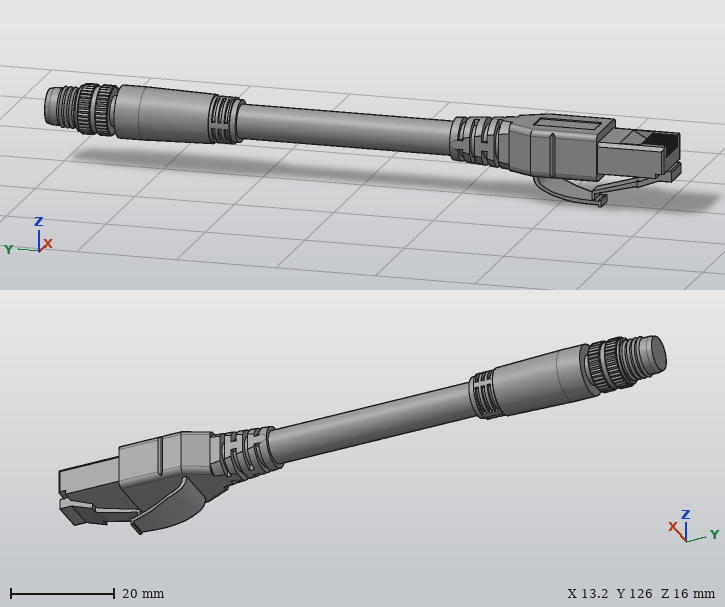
import cadquery as cq
import math

LENGTH = 126.0

CABLE_DIAMETER = 6.7
CABLE_RADIUS = CABLE_DIAMETER / 2

NOSE_RADIUS = 3.7
NOSE_TIP_RADIUS = 3.4
NOSE_LEAD = 1.0
THREAD_RADIUS = 4.0
THREAD_END_Y = 123.5
THREAD_PITCH = 1.0
THREAD_COUNT = 4
COLLAR_RADIUS = 4.5
COLLAR_TOP_Y = 119.6
KNURL_RADIUS = 4.9
KNURL_CHAMFER = 0.3
KNURL_RINGS = ((116.6, 119.1), (113.0, 115.6))
KNURL_TEETH = 36
KNURL_DEPTH = 0.3
NECK_RADIUS = 3.0

GRIP_RADIUS = 5.2
GRIP_FRONT_Y = 111.5
GRIP_STRAIGHT_Y = 106.6
GRIP_REAR_RADIUS = 4.8
GRIP_REAR_Y = 92.8
RELIEF_RADIUS = 4.5
RELIEF_STEP_Y = 88.6
RELIEF_TAIL_RADIUS = 4.2
RELIEF_END_Y = 87.5
RELIEF_CORE_RADIUS = 3.9
RELIEF_SLOT_WIDTH = 0.6
RELIEF_SLOT_PITCH = 1.3
RELIEF_RIB_WIDTH = RELIEF_SLOT_PITCH - RELIEF_SLOT_WIDTH
RELIEF_SLOT_COUNT = 3
RELIEF_BRIDGE = 1.3

BOOT_START_Y = 44.4
BOOT_START_RADIUS = 4.2
BOOT_END_RADIUS = 5.2
BOOT_HALF_WIDTH = 4.2
BOOT_BRIDGE = 1.8
BOOT_VERTICAL_SLOTS = ((41.7, 42.7), (36.8, 37.9))
BOOT_SIDE_SLOTS = ((39.3, 40.3), (34.5, 35.4))

HOUSING_WIDTH = 13.2
HOUSING_TOP_Z = 4.8
HOUSING_BOTTOM_Z = -4.7
HOUSING_HEIGHT = HOUSING_TOP_Z - HOUSING_BOTTOM_Z
HOUSING_FRONT_Y = 14.1
HOUSING_TAPER_START_Y = 27.3
HOUSING_REAR_Y = 32.4
HOUSING_FILLET = 1.1
SIDE_GROOVE_Y = 23.0
SIDE_GROOVE_WIDTH = 1.0
SIDE_GROOVE_DEPTH = 0.4
LABEL_WIDTH = 5.2
LABEL_Y = (15.8, 28.0)
LABEL_DEPTH = 0.3

PLUG_WIDTH = 11.8
PLUG_TOP_Z = 3.2
PLUG_BOTTOM_Z = -3.0
PLUG_FRONT_Y = 0.9
PLUG_CHAMFER = 0.8
PLUG_CORNER_CHAMFER = 0.4
PLUG_NOSE_BOTTOM_Z = -2.1
PLUG_NOSE_DEPTH = 1.5
RAMP_WIDTH = 9.5
RAMP_Y = (5.8, 10.0)
CONTACT_COUNT = 8
CONTACT_PITCH = 1.0
CONTACT_SLOT_WIDTH = 0.5
CONTACT_FLOOR_Z = 0.8

LATCH_WIDTH = 6.7
LATCH_NARROW_WIDTH = 3.7
LATCH_NARROW_Y = 6.9
LATCH_END_Y = 15.9
LATCH_ROOT_Y = 2.5
LATCH_BEND_Y = 7.8
LATCH_BEND_TOP_Z = -5.3
LATCH_BEND_THICKNESS = 1.0
LATCH_END_TOP_Z = -7.8
LATCH_TIP_BOTTOM_Z = -4.3
LATCH_CHAMFER = 0.3
LATCH_HOOK_BOTTOM_Z = -9.6
LATCH_HOOK_THICKNESS = 0.5
LEVER_WIDTH = 8.8
LEVER_TIP_WIDTH = 4.0
LEVER_TAPER_Y = 23.3
LEVER_TIP_Y = 14.5
LEVER_TIP_THICKNESS = 0.8
LEVER_TIP_BOTTOM_Z = -10.5
LEVER_LIP_LENGTH = 0.5
LEVER_LIP_TOP_Z = -9.5
LEVER_ROOT_Y = (26.6, 27.5)
LEVER_OUTER_POINTS = [(25.2, -7.8), (21.0, -9.5)]
LEVER_INNER_POINTS = [(21.0, -8.7), (24.7, -7.3)]
LEVER_TIP_SLOPE = 0.1
LOWEST_Z = -10.8


def block(width, y_range, z_range, x_center=0.0):
    """Box of the given width in X, spanning the given Y and Z ranges."""
    y0, y1 = y_range
    z0, z1 = z_range
    return cq.Workplane("XY").box(width, y1 - y0, z1 - z0).translate(
        (x_center, (y0 + y1) / 2, (z0 + z1) / 2)
    )


def rod(radius, y_start, y_end):
    """Cylinder on the cable axis."""
    return cq.Workplane("XZ", origin=(0, y_end, 0)).circle(radius).extrude(y_end - y_start)


def side_profile(width):
    """Start of a YZ outline, to be extruded symmetrically to the given width."""
    return cq.Workplane("YZ", origin=(-width / 2, 0, 0))


def ring_slot(core_radius, y_range, bridge, bridge_axes):
    """Annular slot broken by bridges where the named axes cross it."""
    reach = 2 * core_radius
    ring = rod(reach, *y_range).cut(rod(core_radius, *y_range))
    if "Z" in bridge_axes:
        ring = ring.cut(block(bridge, y_range, (-reach, reach)))
    if "X" in bridge_axes:
        ring = ring.cut(block(2 * reach, y_range, (-bridge / 2, bridge / 2)))
    return ring


def round_connector():
    """Nose, thread, collar, neck, grip and relief as one turned profile."""
    points = [(0, LENGTH), (NOSE_TIP_RADIUS, LENGTH), (NOSE_RADIUS, LENGTH - NOSE_LEAD)]
    for turn in range(THREAD_COUNT):
        start = THREAD_END_Y - turn * THREAD_PITCH
        points += [(NOSE_RADIUS, start), (THREAD_RADIUS, start - THREAD_PITCH / 2)]
    points += [
        (THREAD_RADIUS, COLLAR_TOP_Y),
        (COLLAR_RADIUS, COLLAR_TOP_Y),
        (COLLAR_RADIUS, KNURL_RINGS[-1][0]),
        (NECK_RADIUS, KNURL_RINGS[-1][0]),
        (NECK_RADIUS, GRIP_FRONT_Y),
        (GRIP_RADIUS, GRIP_FRONT_Y),
        (GRIP_RADIUS, GRIP_STRAIGHT_Y),
        (GRIP_REAR_RADIUS, GRIP_REAR_Y),
        (RELIEF_RADIUS, GRIP_REAR_Y),
        (RELIEF_RADIUS, RELIEF_STEP_Y),
        (RELIEF_TAIL_RADIUS, RELIEF_STEP_Y),
        (RELIEF_TAIL_RADIUS, RELIEF_END_Y),
        (0, RELIEF_END_Y),
    ]
    return cq.Workplane("XY").polyline(points).close().revolve(360, (0, 0, 0), (0, 1, 0))


def knurled_ring(y_start, y_end):
    """Gripping ring with chamfered rims and V-shaped teeth around it."""
    outline = []
    for step in range(KNURL_TEETH * 2):
        radius = KNURL_RADIUS - KNURL_DEPTH * (step % 2)
        angle = math.pi * step / KNURL_TEETH
        outline.append((radius * math.cos(angle), radius * math.sin(angle)))
    toothed = cq.Workplane("XZ", origin=(0, y_end, 0)).polyline(outline).close().extrude(y_end - y_start)
    envelope = rod(KNURL_RADIUS, y_start, y_end).edges().chamfer(KNURL_CHAMFER)
    return toothed.intersect(envelope)


def cut_relief_slots(body):
    """Rows of slots, four to a row, that make the rear of the grip flexible."""
    for index in range(RELIEF_SLOT_COUNT):
        y_end = GRIP_REAR_Y - RELIEF_RIB_WIDTH - index * RELIEF_SLOT_PITCH
        y_range = (y_end - RELIEF_SLOT_WIDTH, y_end)
        body = body.cut(ring_slot(RELIEF_CORE_RADIUS, y_range, RELIEF_BRIDGE, "XZ"))
    return body


def boot():
    """Tapered boot with flats all round and slots alternating between two directions."""
    profile = [
        (0, BOOT_START_Y),
        (BOOT_START_RADIUS, BOOT_START_Y),
        (BOOT_END_RADIUS, HOUSING_REAR_Y),
        (0, HOUSING_REAR_Y),
    ]
    cone = cq.Workplane("XY").polyline(profile).close().revolve(360, (0, 0, 0), (0, 1, 0))
    height_range = (HOUSING_BOTTOM_Z, HOUSING_TOP_Z)
    body = cone.intersect(block(2 * BOOT_HALF_WIDTH, (HOUSING_REAR_Y, BOOT_START_Y), height_range))
    for y_range in BOOT_VERTICAL_SLOTS:
        body = body.cut(ring_slot(CABLE_RADIUS, y_range, BOOT_BRIDGE, "X"))
    for y_range in BOOT_SIDE_SLOTS:
        body = body.cut(ring_slot(CABLE_RADIUS, y_range, BOOT_BRIDGE, "Z"))
    return body


def housing():
    """Plug housing: tapered towards the boot, rounded along its long edges."""
    half = HOUSING_WIDTH / 2
    outline = [
        (-half, HOUSING_FRONT_Y),
        (half, HOUSING_FRONT_Y),
        (half, HOUSING_TAPER_START_Y),
        (BOOT_HALF_WIDTH, HOUSING_REAR_Y),
        (-BOOT_HALF_WIDTH, HOUSING_REAR_Y),
        (-half, HOUSING_TAPER_START_Y),
    ]
    body = (
        cq.Workplane("XY", origin=(0, 0, HOUSING_BOTTOM_Z))
        .polyline(outline)
        .close()
        .extrude(HOUSING_HEIGHT)
    )
    body = body.faces("<Z or >Z").edges("not #Y").fillet(HOUSING_FILLET)

    for side in (-1, 1):
        groove = (
            cq.Workplane("XY", origin=(0, 0, HOUSING_BOTTOM_Z))
            .moveTo(side * half, SIDE_GROOVE_Y - SIDE_GROOVE_WIDTH / 2)
            .lineTo(side * (half - SIDE_GROOVE_DEPTH), SIDE_GROOVE_Y)
            .lineTo(side * half, SIDE_GROOVE_Y + SIDE_GROOVE_WIDTH / 2)
            .close()
            .extrude(HOUSING_HEIGHT)
        )
        body = body.cut(groove)

    label_z = (HOUSING_TOP_Z - LABEL_DEPTH, HOUSING_TOP_Z)
    return body.cut(block(LABEL_WIDTH, LABEL_Y, label_z))


def plug():
    """Modular plug with a ramped top window and a row of contact slots."""
    body = block(PLUG_WIDTH, (PLUG_FRONT_Y, HOUSING_FRONT_Y), (PLUG_BOTTOM_Z, PLUG_TOP_Z))
    body = body.edges("|Y and >Z").chamfer(PLUG_CHAMFER)
    body = body.edges("|Z and <Y").chamfer(PLUG_CORNER_CHAMFER)

    nose_y = (PLUG_FRONT_Y, PLUG_FRONT_Y + PLUG_NOSE_DEPTH)
    body = body.cut(block(PLUG_WIDTH, nose_y, (PLUG_BOTTOM_Z, PLUG_NOSE_BOTTOM_Z)))

    ramp = (
        side_profile(RAMP_WIDTH)
        .moveTo(RAMP_Y[0], PLUG_TOP_Z)
        .lineTo(RAMP_Y[1], PLUG_TOP_Z)
        .lineTo(RAMP_Y[0], CONTACT_FLOOR_Z)
        .close()
        .extrude(RAMP_WIDTH)
    )
    body = body.cut(ramp)

    for index in range(CONTACT_COUNT):
        x = (index - (CONTACT_COUNT - 1) / 2) * CONTACT_PITCH
        y_range = (PLUG_FRONT_Y, RAMP_Y[0])
        body = body.cut(block(CONTACT_SLOT_WIDTH, y_range, (CONTACT_FLOOR_Z, PLUG_TOP_Z), x))
    return body


def latch():
    """Springy latch arm, hinged at the plug nose and narrowed towards its free end."""
    hook_y = LATCH_END_Y + LATCH_HOOK_THICKNESS
    profile = [
        (0, PLUG_NOSE_BOTTOM_Z - LATCH_CHAMFER),
        (LATCH_CHAMFER, PLUG_NOSE_BOTTOM_Z),
        (LATCH_ROOT_Y, PLUG_NOSE_BOTTOM_Z),
        (LATCH_ROOT_Y, PLUG_BOTTOM_Z),
        (LATCH_BEND_Y, LATCH_BEND_TOP_Z),
        (hook_y, LATCH_END_TOP_Z),
        (hook_y, LATCH_HOOK_BOTTOM_Z),
        (LATCH_END_Y, LATCH_HOOK_BOTTOM_Z),
        (LATCH_END_Y, LATCH_END_TOP_Z - LATCH_HOOK_THICKNESS),
        (LATCH_BEND_Y, LATCH_BEND_TOP_Z - LATCH_BEND_THICKNESS),
        (LATCH_ROOT_Y, LATCH_TIP_BOTTOM_Z),
        (0, LATCH_TIP_BOTTOM_Z),
    ]
    arm = side_profile(LATCH_WIDTH).polyline(profile).close().extrude(LATCH_WIDTH)
    for side in (-1, 1):
        trim_width = (LATCH_WIDTH - LATCH_NARROW_WIDTH) / 2
        trim_x = side * (LATCH_WIDTH + LATCH_NARROW_WIDTH) / 4
        arm = arm.cut(block(trim_width, (LATCH_NARROW_Y, hook_y), (LOWEST_Z, 0), trim_x))
    return arm


def lever():
    """Curved guard lever hanging from the housing, tapering to a lipped tip."""
    root_inner = (LEVER_ROOT_Y[0], HOUSING_BOTTOM_Z)
    root_outer = (LEVER_ROOT_Y[1], HOUSING_BOTTOM_Z)
    tip_outer = (LEVER_TIP_Y, LEVER_TIP_BOTTOM_Z)
    tip_inner = (LEVER_TIP_Y, LEVER_TIP_BOTTOM_Z + LEVER_TIP_THICKNESS)
    down, up = (0, -1), (0, 1)
    to_tip, from_tip = (-1, -LEVER_TIP_SLOPE), (1, LEVER_TIP_SLOPE)
    curved = (
        side_profile(LEVER_WIDTH)
        .moveTo(*root_outer)
        .spline(LEVER_OUTER_POINTS + [tip_outer], tangents=[down, to_tip], includeCurrent=True)
        .lineTo(*tip_inner)
        .spline(LEVER_INNER_POINTS + [root_inner], tangents=[from_tip, up], includeCurrent=True)
        .close()
        .extrude(LEVER_WIDTH)
    )
    lip_y = (LEVER_TIP_Y, LEVER_TIP_Y + LEVER_LIP_LENGTH)
    lip = block(LEVER_WIDTH, lip_y, (LOWEST_Z, LEVER_LIP_TOP_Z))
    plan = (
        cq.Workplane("XY", origin=(0, 0, LOWEST_Z))
        .polyline([
            (-LEVER_TIP_WIDTH / 2, LEVER_TIP_Y),
            (LEVER_TIP_WIDTH / 2, LEVER_TIP_Y),
            (LEVER_WIDTH / 2, LEVER_TAPER_Y),
            (LEVER_WIDTH / 2, LEVER_ROOT_Y[1]),
            (-LEVER_WIDTH / 2, LEVER_ROOT_Y[1]),
            (-LEVER_WIDTH / 2, LEVER_TAPER_Y),
        ])
        .close()
        .extrude(-LOWEST_Z)
    )
    return curved.union(lip).intersect(plan)


connector = cut_relief_slots(round_connector())
for ring_start, ring_end in KNURL_RINGS:
    connector = connector.union(knurled_ring(ring_start, ring_end))

cable = rod(CABLE_RADIUS, HOUSING_FRONT_Y, GRIP_REAR_Y)

result = (
    connector.union(cable)
    .union(boot())
    .union(housing())
    .union(plug())
    .union(latch())
    .union(lever())
)